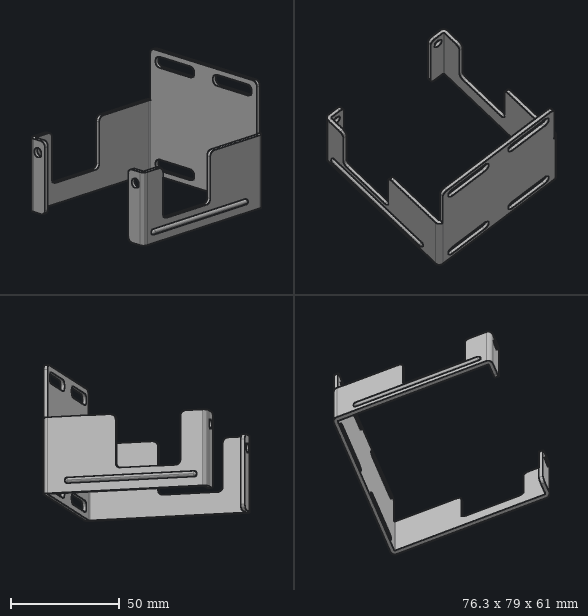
import cadquery as cq

thickness = 2.0
bend_radius_inner = 0.4
bend_radius_outer = bend_radius_inner + thickness
width = 73.6
depth = 79.0
back_height = 61.0
wall_height = 35.6
lip_length = 10.0
corner_radius = 2.5
full_turn = 360

slot_length = 25.0
slot_width = 5.3
slot_spacing_x = 37.0
slot_edge_offset = 5.5

lip_hole_diameter = 4.5
lip_hole_from_side = 5.4
lip_hole_from_top = 6.1

window_front_offset = 12.9
window_length = 31.0
window_floor = 10.3
window_floor_radius = 2.4

bead_radius = 1.35
bead_front_offset = 5.0
bead_length = 63.2
bead_height = 5.6

half_width = width / 2
front_y = -depth / 2
back_y = depth / 2
inner_half_width = half_width - thickness
lip_inner_x = half_width - lip_length


def block(x_min, x_max, y_min, y_max, z_min, z_max):
    """Box given by its limits along each axis."""
    size = (x_max - x_min, y_max - y_min, z_max - z_min)
    return cq.Workplane("XY").box(*size, centered=False).translate((x_min, y_min, z_min))


def make_folded_strip():
    """C-shaped strip with rounded bends: the back, both walls and both lips."""
    outer = block(-half_width, half_width, front_y, back_y, 0, wall_height)
    outer = outer.edges("|Z").fillet(bend_radius_outer)
    inner = block(
        -inner_half_width, inner_half_width, front_y + thickness, back_y - thickness, 0, wall_height
    )
    inner = inner.edges("|Z").fillet(bend_radius_inner)
    opening = block(-lip_inner_x, lip_inner_x, front_y, front_y + thickness, 0, wall_height)
    strip = outer.cut(inner).cut(opening)
    free_edges = cq.selectors.BoxSelector(
        (-half_width + bend_radius_outer, front_y - thickness, -thickness),
        (half_width - bend_radius_outer, front_y + 2 * thickness, wall_height + thickness),
    )
    return strip.edges(free_edges).edges("|Y").fillet(corner_radius)


def make_back_plate():
    """Flat back plate between the bends, rounded at its upper corners."""
    plate_half_width = half_width - bend_radius_outer
    plate = block(-plate_half_width, plate_half_width, back_y - thickness, back_y, 0, back_height)
    return plate.edges("|Y and >Z").edges("<X or >X").fillet(corner_radius)


def make_slots():
    """Four horizontal slots through the back plate."""
    slot_spacing_z = back_height - 2 * slot_edge_offset
    return (
        cq.Workplane("XZ", origin=(0, back_y, back_height / 2))
        .rarray(slot_spacing_x, slot_spacing_z, 2, 2)
        .slot2D(slot_length, slot_width)
        .extrude(thickness)
    )


def make_lip_holes():
    """One round hole through each front lip."""
    hole_x = half_width - lip_hole_from_side
    hole_z = wall_height - lip_hole_from_top
    return (
        cq.Workplane("XZ", origin=(0, front_y + thickness, hole_z))
        .pushPoints([(-hole_x, 0), (hole_x, 0)])
        .circle(lip_hole_diameter / 2)
        .extrude(thickness)
    )


def make_window():
    """Cutter for both wall windows, with rounded floor and flared top corners."""
    window_front = front_y + window_front_offset
    window_back = window_front + window_length
    r = corner_radius
    floor_r = window_floor_radius
    flare_start = wall_height - r
    return (
        cq.Workplane("YZ", origin=(-half_width, 0, 0))
        .moveTo(window_front - r, wall_height)
        .radiusArc((window_front, flare_start), r)
        .lineTo(window_front, window_floor + floor_r)
        .radiusArc((window_front + floor_r, window_floor), -floor_r)
        .lineTo(window_back - floor_r, window_floor)
        .radiusArc((window_back, window_floor + floor_r), -floor_r)
        .lineTo(window_back, flare_start)
        .radiusArc((window_back + r, wall_height), r)
        .close()
        .extrude(width)
    )


def make_bead():
    """Half-round bead with spherical ends on the outside of the +X wall."""
    r = bead_radius
    straight_front = front_y + bead_front_offset + r
    straight_length = bead_length - 2 * r
    bead = (
        cq.Workplane("XZ", origin=(half_width, straight_front, bead_height))
        .moveTo(0, -r)
        .radiusArc((r, 0), -r)
        .radiusArc((0, r), -r)
        .close()
        .extrude(-straight_length, clean=False)
    )
    for end_y in (straight_front, straight_front + straight_length):
        end_cap = (
            cq.Workplane("XZ", origin=(half_width, end_y, bead_height))
            .lineTo(r, 0)
            .radiusArc((0, r), -r)
            .close()
            .revolve(full_turn, (0, 0, 0), (1, 0, 0))
        )
        bead = bead.union(end_cap, clean=False)
    return bead


result = make_folded_strip().union(make_back_plate())
result = result.cut(make_slots()).cut(make_lip_holes()).cut(make_window())
bead = make_bead()
result = result.union(bead, clean=False).union(bead.mirror("YZ"), clean=False)